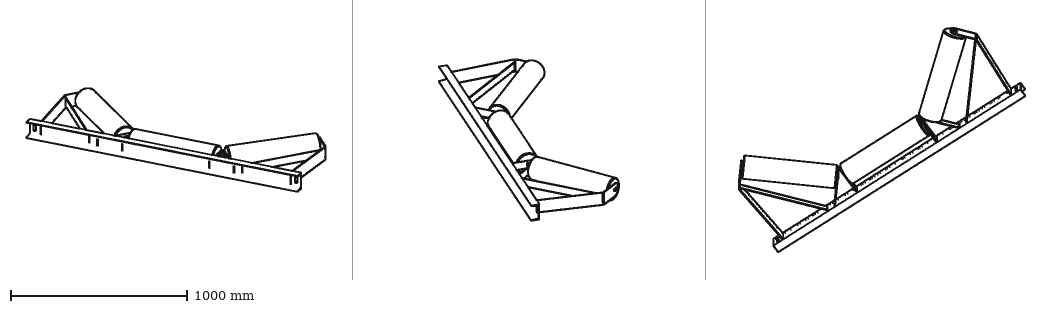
import cadquery as cq
import math


BEAM_LENGTH = 1700.0
BEAM_HEIGHT = 100.0
BEAM_DEPTH = 50.0
BEAM_WEB = 6.0
BEAM_FLANGE = 8.0
FLANGE_SLOPE = 0.1
BEAM_ROOT_RADIUS = 8.0
FLANGE_TIP_RADIUS = 4.5
MOUNT_SLOT_WIDTH = 14.0
MOUNT_SLOT_LENGTH = 37.0
MOUNT_SLOT_INSET = 30.0

ROLLER_LENGTH = 534.0
ROLLER_DIAMETER = 135.0
ROLLER_CHAMFER = 6.0
SHAFT_DIAMETER = 15.0
WING_ANGLE = 40.0
WING_TILT = 2.0
CENTER_ROLLER_Y = 119.0
WING_AXIS_X = 158.0
WING_INNER_REACH = 212.0

OUTER_STRIP_WIDTH = 80.0
INNER_STRIP_WIDTH = 50.0
STRIP_THICKNESS = 6.0
INNER_GAP = 3.0
OUTER_GAP = 7.0
SHAFT_SLOT_WIDTH = 17.0
INNER_TIP_ABOVE_AXIS = 55.0
OUTER_TIP_ABOVE_AXIS = 30.0
OUTER_BEND_BELOW_AXIS = 122.0
OUTER_BEND_CHAMFER = 6.0
OUTER_TIP_RADIUS = 25.0
OUTER_FOOT_X = 787.0
BRACE_FOOT_X = 480.0

COS_WING = math.cos(math.radians(WING_ANGLE))
SIN_WING = math.sin(math.radians(WING_ANGLE))
WING_PLAN_LENGTH = ROLLER_LENGTH * math.cos(math.radians(WING_TILT))
WING_RISE = ROLLER_LENGTH * math.sin(math.radians(WING_TILT))
INNER_AXIS_Z = -WING_RISE
CENTER_FACE_X = ROLLER_LENGTH / 2 + INNER_GAP
SHAFT_OVERHANG = OUTER_GAP + STRIP_THICKNESS


def wing_point(along, above):
    """Plan point measured along the wing axis from its inner end, and square to the axis."""
    reach = WING_INNER_REACH + along
    return (
        WING_AXIS_X + reach * COS_WING - above * SIN_WING,
        reach * SIN_WING + above * COS_WING,
    )


def meeting_point(start_a, end_a, start_b, end_b):
    """Plan point where the line through the points a crosses the line through the points b."""
    ax, ay = end_a[0] - start_a[0], end_a[1] - start_a[1]
    bx, by = end_b[0] - start_b[0], end_b[1] - start_b[1]
    gap_x, gap_y = start_b[0] - start_a[0], start_b[1] - start_a[1]
    share = (gap_x * by - gap_y * bx) / (ax * by - ay * bx)
    return (start_a[0] + share * ax, start_a[1] + share * ay)


def offset_line(start, end, distance):
    """The two plan points moved sideways, to the left of the direction start to end."""
    run_x, run_y = end[0] - start[0], end[1] - start[1]
    length = math.hypot(run_x, run_y)
    shift_x, shift_y = -run_y / length * distance, run_x / length * distance
    return (start[0] + shift_x, start[1] + shift_y), (end[0] + shift_x, end[1] + shift_y)


def beam_foot(start, end):
    """Plan point where the line through two points reaches the back of the beam."""
    return meeting_point(start, end, (0, 0), (1, 0))


def strip_body(outline, width, middle_z):
    strip = cq.Workplane("XY").polyline(outline).close().extrude(width / 2, both=True)
    return strip.translate((0, 0, middle_z))


def shaft_slot(x, y, z, plan_angle, reach):
    """Cutter for an open-ended slot: round at the shaft axis, running off past the strip's tip."""
    turn = math.radians(plan_angle)
    plane = cq.Plane(
        origin=(x, y, z),
        xDir=(-math.sin(turn), math.cos(turn), 0),
        normal=(math.cos(turn), math.sin(turn), 0),
    )
    depth = 2 * STRIP_THICKNESS
    round_end = cq.Workplane(plane).circle(SHAFT_SLOT_WIDTH / 2).extrude(depth, both=True)
    channel = (
        cq.Workplane(plane)
        .center(reach / 2, 0)
        .rect(reach, SHAFT_SLOT_WIDTH)
        .extrude(depth, both=True)
    )
    return round_end.union(channel)


def make_beam():
    half_height = BEAM_HEIGHT / 2
    tip_z = half_height - BEAM_FLANGE + FLANGE_SLOPE * BEAM_DEPTH / 2
    root_z = tip_z - FLANGE_SLOPE * (BEAM_DEPTH - BEAM_WEB)
    section = [
        (0, -half_height),
        (0, half_height),
        (-BEAM_DEPTH, half_height),
        (-BEAM_DEPTH, tip_z),
        (-BEAM_WEB, root_z),
        (-BEAM_WEB, -root_z),
        (-BEAM_DEPTH, -tip_z),
        (-BEAM_DEPTH, -half_height),
    ]
    channel = cq.Workplane("YZ").polyline(section).close().extrude(BEAM_LENGTH / 2, both=True)
    for side in (-1, 1):
        root_edge = cq.selectors.NearestToPointSelector((0, -BEAM_WEB, side * root_z))
        channel = channel.edges("|X").edges(root_edge).fillet(BEAM_ROOT_RADIUS)
        tip_edge = cq.selectors.NearestToPointSelector((0, -BEAM_DEPTH, side * tip_z))
        channel = channel.edges("|X").edges(tip_edge).fillet(FLANGE_TIP_RADIUS)
    slot_x = BEAM_LENGTH / 2 - MOUNT_SLOT_INSET
    slots = (
        cq.Workplane("XZ")
        .pushPoints([(-slot_x, 0), (slot_x, 0)])
        .slot2D(MOUNT_SLOT_LENGTH, MOUNT_SLOT_WIDTH, 90)
        .extrude(BEAM_DEPTH)
    )
    return channel.cut(slots)


def make_roller():
    """Chamfered roller with its shaft ends, lying along X and centred on the origin."""
    end = ROLLER_LENGTH / 2
    shaft_end = end + SHAFT_OVERHANG
    half_profile = [
        (-shaft_end, 0),
        (-shaft_end, SHAFT_DIAMETER / 2),
        (-end, SHAFT_DIAMETER / 2),
        (-end, ROLLER_DIAMETER / 2 - ROLLER_CHAMFER),
        (-end + ROLLER_CHAMFER, ROLLER_DIAMETER / 2),
        (end - ROLLER_CHAMFER, ROLLER_DIAMETER / 2),
        (end, ROLLER_DIAMETER / 2 - ROLLER_CHAMFER),
        (end, SHAFT_DIAMETER / 2),
        (shaft_end, SHAFT_DIAMETER / 2),
        (shaft_end, 0),
    ]
    return cq.Workplane("XZ").polyline(half_profile).close().revolve(360, (0, 0), (1, 0))


def make_center_roller():
    return make_roller().translate((0, CENTER_ROLLER_Y, INNER_AXIS_Z))


def make_wing_roller():
    middle_x, middle_y = wing_point(WING_PLAN_LENGTH / 2, 0)
    return (
        make_roller()
        .rotate((0, 0, 0), (0, 1, 0), -WING_TILT)
        .rotate((0, 0, 0), (0, 0, 1), WING_ANGLE)
        .translate((middle_x, middle_y, INNER_AXIS_Z + WING_RISE / 2))
    )


def make_inner_bracket():
    """Strip bent over a short cap: one leg beside the centre roller, one beside the wing roller."""
    wing_face = -INNER_GAP
    wing_back = wing_face - STRIP_THICKNESS
    center_back_x = CENTER_FACE_X + STRIP_THICKNESS
    cap_under = INNER_TIP_ABOVE_AXIS - STRIP_THICKNESS

    wing_tip = wing_point(wing_face, INNER_TIP_ABOVE_AXIS)
    wing_inside = wing_point(wing_back, cap_under)
    center_tip = meeting_point(
        wing_tip, wing_point(wing_back, INNER_TIP_ABOVE_AXIS), (CENTER_FACE_X, 0), (CENTER_FACE_X, 1)
    )
    center_inside = meeting_point(
        wing_inside, wing_point(wing_face, cap_under), (center_back_x, 0), (center_back_x, 1)
    )
    outline = [
        (CENTER_FACE_X, 0),
        center_tip,
        wing_tip,
        beam_foot(wing_tip, wing_point(wing_face, 0)),
        beam_foot(wing_inside, wing_point(wing_back, 0)),
        wing_inside,
        center_inside,
        (center_back_x, 0),
    ]
    wing_slot_x, wing_slot_y = wing_point((wing_face + wing_back) / 2, 0)
    wing_slot = shaft_slot(wing_slot_x, wing_slot_y, INNER_AXIS_Z, WING_ANGLE, 2 * INNER_TIP_ABOVE_AXIS)
    center_slot_x = (CENTER_FACE_X + center_back_x) / 2
    center_slot = shaft_slot(center_slot_x, CENTER_ROLLER_Y, INNER_AXIS_Z, 0, 2 * INNER_TIP_ABOVE_AXIS)
    bracket = strip_body(outline, INNER_STRIP_WIDTH, INNER_AXIS_Z)
    return bracket.cut(wing_slot).cut(center_slot)


OUTER_FACE = WING_PLAN_LENGTH + OUTER_GAP
OUTER_BACK = OUTER_FACE + STRIP_THICKNESS
OUTER_TIP_FACE = wing_point(OUTER_FACE, OUTER_TIP_ABOVE_AXIS)
OUTER_TIP_BACK = wing_point(OUTER_BACK, OUTER_TIP_ABOVE_AXIS)
OUTER_BEND = wing_point(OUTER_BACK, -OUTER_BEND_BELOW_AXIS)
OUTER_FOOT = (OUTER_FOOT_X, 0)
LEG_INSIDE_FOOT, LEG_INSIDE_TOP = offset_line(OUTER_FOOT, OUTER_BEND, STRIP_THICKNESS)
INSIDE_BEND = meeting_point(LEG_INSIDE_FOOT, LEG_INSIDE_TOP, OUTER_TIP_FACE, wing_point(OUTER_FACE, 0))


def make_outer_bracket():
    """Leg standing on the beam, bent inwards to carry the outer end of the wing roller."""
    outline = [
        OUTER_FOOT,
        OUTER_BEND,
        OUTER_TIP_BACK,
        OUTER_TIP_FACE,
        INSIDE_BEND,
        beam_foot(LEG_INSIDE_FOOT, LEG_INSIDE_TOP),
    ]
    bracket = strip_body(outline, OUTER_STRIP_WIDTH, 0)
    bend_edge = cq.selectors.NearestToPointSelector((*OUTER_BEND, 0))
    bracket = bracket.edges("|Z").edges(bend_edge).chamfer(OUTER_BEND_CHAMFER)
    tip_x, tip_y = wing_point((OUTER_FACE + OUTER_BACK) / 2, OUTER_TIP_ABOVE_AXIS)
    for tip_z in (-OUTER_STRIP_WIDTH / 2, OUTER_STRIP_WIDTH / 2):
        tip_edge = cq.selectors.NearestToPointSelector((tip_x, tip_y, tip_z))
        bracket = bracket.edges(tip_edge).fillet(OUTER_TIP_RADIUS)
    slot_x, slot_y = wing_point((OUTER_FACE + OUTER_BACK) / 2, 0)
    return bracket.cut(shaft_slot(slot_x, slot_y, 0, WING_ANGLE, 2 * OUTER_TIP_ABOVE_AXIS))


def make_brace():
    """Straight strip from the beam up into the bend of the outer bracket."""
    middle_foot = (BRACE_FOOT_X, 0)
    upper_foot, upper_end = offset_line(middle_foot, INSIDE_BEND, STRIP_THICKNESS / 2)
    lower_foot, lower_end = offset_line(middle_foot, INSIDE_BEND, -STRIP_THICKNESS / 2)
    outline = [
        beam_foot(upper_foot, upper_end),
        meeting_point(upper_foot, upper_end, INSIDE_BEND, OUTER_TIP_FACE),
        INSIDE_BEND,
        meeting_point(lower_foot, lower_end, LEG_INSIDE_FOOT, LEG_INSIDE_TOP),
        beam_foot(lower_foot, lower_end),
    ]
    return strip_body(outline, INNER_STRIP_WIDTH, 0)


beam = make_beam()
center_roller = make_center_roller()

side_solids = []
for make_body in (make_wing_roller, make_inner_bracket, make_outer_bracket, make_brace):
    body = make_body()
    side_solids += [body.val(), body.mirror("YZ").val()]

result = cq.Compound.makeCompound([beam.val(), center_roller.val(), *side_solids])